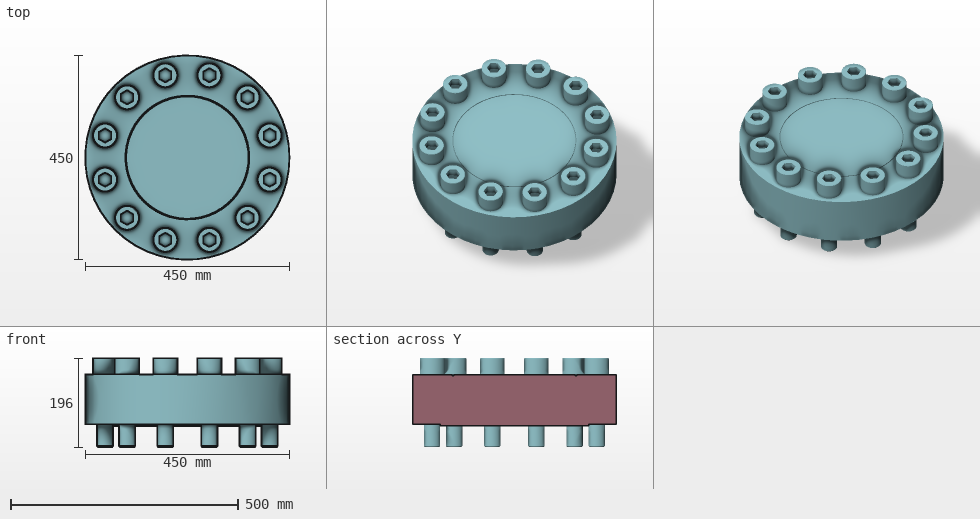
import cadquery as cq
import math

flange_diameter = 450.0
flange_thickness = 110.0
raised_face_diameter = 328.0
raised_face_height = 4.0

groove_outer_diameter = 273.0
groove_width = 2.0
groove_depth = 2.0

bolt_count = 12
bolt_circle_diameter = 375.0
bolt_diameter = 36.0
bolt_protrusion = 50.0
bolt_tip_chamfer = 2.5
head_diameter = 54.0
head_height = bolt_diameter
head_chamfer = 1.0
socket_sides = 6
socket_across_flats = 27.0
socket_depth = 19.0


def cylinder(diameter, bottom_z, height):
    return cq.Workplane("XY").workplane(offset=bottom_z).circle(diameter / 2).extrude(height)


def make_flange():
    body = cylinder(flange_diameter, 0, flange_thickness)
    raised_face = cylinder(raised_face_diameter, -raised_face_height, raised_face_height)
    groove_bottom = flange_thickness - groove_depth
    disc_diameter = groove_outer_diameter - 2 * groove_width
    groove = cylinder(groove_outer_diameter, groove_bottom, groove_depth)
    groove = groove.cut(cylinder(disc_diameter, groove_bottom, groove_depth))
    return body.union(raised_face).cut(groove)


def make_bolt():
    shank = cylinder(bolt_diameter, -bolt_protrusion, bolt_protrusion + flange_thickness)
    shank = shank.faces("<Z").chamfer(bolt_tip_chamfer)
    head = cylinder(head_diameter, flange_thickness, head_height)
    head = head.faces(">Z").chamfer(head_chamfer)
    across_corners = socket_across_flats / math.cos(math.pi / socket_sides)
    socket = (
        cq.Workplane("XY")
        .workplane(offset=flange_thickness + head_height - socket_depth)
        .transformed(rotate=(0, 0, 90))
        .polygon(socket_sides, across_corners)
        .extrude(socket_depth)
    )
    return shank.union(head).cut(socket)


result = make_flange()
bolt = make_bolt()
bolt_pitch_angle = 2 * math.pi / bolt_count
for index in range(bolt_count):
    angle = (index + 0.5) * bolt_pitch_angle
    x = bolt_circle_diameter / 2 * math.cos(angle)
    y = bolt_circle_diameter / 2 * math.sin(angle)
    result = result.union(bolt.translate((x, y, 0)))